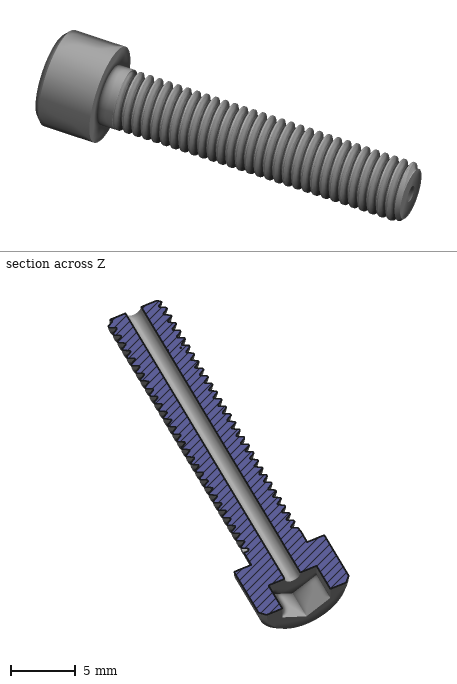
import cadquery as cq
import math

length = 30.18

head_diameter = 7.82
head_height = 4.77
head_chamfer = 0.48

socket_across_flats = 4.1
socket_depth = 2.4
bore_diameter = 1.33

shank_diameter = 4.85
shank_end = 6.05
pitches_in_length = 38
thread_depth = 0.48
crest_width = 0.15
flank_angle = 30.0
groove_start_angle = -55
tip_chamfer = 0.4
flank_steps = 4
thread_stretches = 5

pitch = length / pitches_in_length
shank_radius = shank_diameter / 2
root_radius = shank_radius - thread_depth


def make_cylinder(x_start, x_end, diameter):
    """Solid cylinder about the X axis."""
    return cq.Workplane("YZ", origin=(x_start, 0, 0)).circle(diameter / 2).extrude(x_end - x_start)


def polar_point(radius, degrees):
    """Point of the YZ plane at an angle turned from +Y toward +Z."""
    angle = math.radians(degrees)
    return (radius * math.cos(angle), radius * math.sin(angle))


def make_head():
    """Cap head with a chamfered outer rim."""
    return make_cylinder(0, head_height, head_diameter).faces("<X").chamfer(head_chamfer)


def make_shank():
    """Plain shank; a quarter of it runs on to close off the groove at its beginning on the +Y side."""
    shank = make_cylinder(head_height, shank_end, shank_diameter)
    stop_radius = shank_radius - 0.015
    groove_stop = (
        cq.Workplane("YZ", origin=(shank_end, 0, 0))
        .lineTo(*polar_point(stop_radius, -90))
        .threePointArc(polar_point(stop_radius, -45), polar_point(stop_radius, 0))
        .close()
        .extrude(pitch / 2)
    )
    return shank.union(groove_stop)


def make_thread_section():
    """Cross-section at the start of the thread: root arc, two spiral flanks and crest arc."""
    flank_width = thread_depth * math.tan(math.radians(flank_angle))
    flank_sweep = 360 * flank_width / pitch
    crest_sweep = 360 * crest_width / pitch
    root_half_sweep = (360 - crest_sweep) / 2 - flank_sweep

    def flank_points(side):
        """Points from root to crest along the flank on one side (+1 or -1) of the groove."""
        fractions = [step / flank_steps for step in range(flank_steps + 1)]
        return [
            polar_point(
                root_radius + thread_depth * fraction,
                groove_start_angle + side * (root_half_sweep + flank_sweep * fraction),
            )
            for fraction in fractions
        ]

    rising_flank = flank_points(1)
    falling_flank = flank_points(-1)[::-1]
    root_middle = polar_point(root_radius, groove_start_angle)
    crest_middle = polar_point(shank_radius, groove_start_angle + 180)
    return (
        cq.Workplane("YZ", origin=(shank_end, 0, 0))
        .moveTo(*falling_flank[0])
        .spline(falling_flank[1:], includeCurrent=True)
        .threePointArc(root_middle, rising_flank[0])
        .spline(rising_flank[1:], includeCurrent=True)
        .threePointArc(crest_middle, falling_flank[0])
        .close()
    )


def make_thread():
    """Right-hand thread from the shank to the chamfered tip, stitched from twisted stretches."""
    stretch_length = (length - shank_end) / thread_stretches
    stretch_twist = 360 * stretch_length / pitch
    first_stretch = make_thread_section().twistExtrude(stretch_length, stretch_twist)
    stretches = [
        first_stretch
        .rotate((0, 0, 0), (1, 0, 0), index * stretch_twist)
        .translate((index * stretch_length, 0, 0))
        for index in range(thread_stretches)
    ]
    margin = 0.3
    tip_envelope = (
        make_cylinder(shank_end, length, shank_diameter + 2 * margin)
        .faces(">X")
        .chamfer(tip_chamfer + margin)
    )
    stretches[-1] = stretches[-1].intersect(tip_envelope, clean=False)

    skin = []
    for index, stretch in enumerate(stretches):
        faces = stretch.faces()
        if index > 0:
            faces = faces.faces("not <X")
        if index < thread_stretches - 1:
            faces = faces.faces("not >X")
        skin += faces.vals()
    return cq.Workplane(obj=cq.Solid.makeSolid(cq.Shell.makeShell(skin)))


def make_socket():
    """Hexagonal socket with corners at top and bottom."""
    across_corners = socket_across_flats / math.cos(math.radians(30))
    return (
        cq.Workplane("YZ")
        .polygon(6, across_corners)
        .extrude(socket_depth)
        .rotate((0, 0, 0), (1, 0, 0), 90)
    )


bore = make_cylinder(0, length, bore_diameter)

result = make_head().union(make_shank()).cut(make_socket())
result = result.union(make_thread(), clean=False).cut(bore, clean=False)